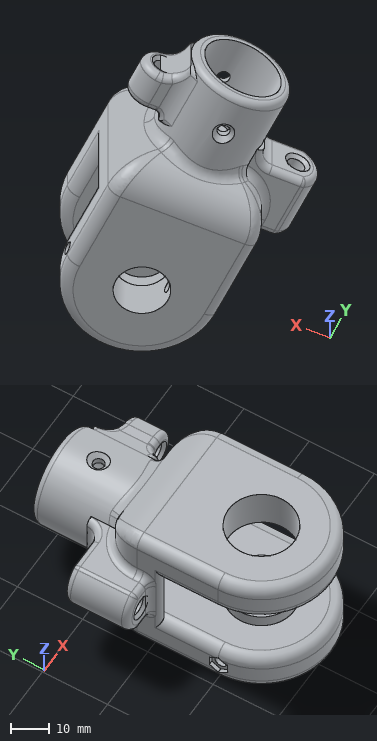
import cadquery as cq
import math

fork_width = 43.0
fork_height = 43.0
half_width = fork_width / 2
half_height = fork_height / 2
slot_height = 18.35
plate_thickness = (fork_height - slot_height) / 2
lower_plate_mid = -(slot_height + plate_thickness) / 2
block_corner_start = 24.9
block_corner_radius = 12.0
block_rear = block_corner_start + block_corner_radius
slot_wall_radius = 26.3
slot_wall_edge_fillet = 1.5
edge_fillet = 3.5
upper_pivot_hole_diameter = 20.0
lower_pivot_hole_diameter = 15.0

total_length = 83.4
socket_rear = total_length - half_width
socket_diameter = 28.5
socket_radius = socket_diameter / 2
socket_bore_diameter = 22.0
socket_root_fillet = 3.5
socket_rim_fillet = 2.0
cross_hole_y = 50.0
cross_hole_diameter = 3.3
cross_sink_diameter = 6.3

lug_hole_diameter = 5.0
lug_sink_diameter = 7.0
lug_edge_fillet = 2.0

left_lug_tip = -32.4
left_lug_front = 20.95
left_lug_rear = 40.55
left_lug_half_height = 7.4
left_lug_tip_radius = 8.5
left_lug_hole_x = -25.9
left_lug_root_fillet = 2.3
left_lug_rear_flare = 4.2

right_lug_tip = 25.1
right_lug_front = 43.05
right_lug_rear = 54.4
right_lug_radius = 6.0
right_lug_hole_x = right_lug_tip - right_lug_radius
right_lug_flare = 6.0
right_lug_front_flare = 2.5

screw_hole_diameter = 3.4
nut_across_flats = 5.4
nut_depth = 1.25

ring_outer_diameter = upper_pivot_hole_diameter
ring_height = 3.8


def cylinder_along_y(x, radius, y_start, y_end):
    return cq.Workplane("XZ", origin=(x, y_start, 0)).circle(radius).extrude(y_start - y_end)


def cylinder_along_z(radius, z_bottom, z_top):
    return cq.Workplane("XY", origin=(0, 0, z_bottom)).circle(radius).extrude(z_top - z_bottom)


def make_fork_blank():
    """Round-ended block with its rear corners rounded in plan and in side profile."""
    plan = (
        cq.Workplane("XY")
        .moveTo(-half_width, block_rear)
        .lineTo(-half_width, 0)
        .threePointArc((0, -half_width), (half_width, 0))
        .lineTo(half_width, block_rear)
        .close()
        .extrude(half_height, both=True)
        .edges("|Z and >Y")
        .fillet(block_corner_radius)
    )
    side = (
        cq.Workplane("XY")
        .box(fork_width, total_length, fork_height)
        .translate((0, block_rear - total_length / 2, 0))
        .edges("|X and >Y")
        .fillet(block_corner_radius)
    )
    return plan.intersect(side).edges("not (|X or |Z)").fillet(edge_fillet)


def cut_slot(blank):
    """Slot between the plates; it ends in a concave wall centred on the pivot axis."""
    wall = cylinder_along_z(slot_wall_radius, -half_height, half_height)
    slot = cq.Workplane("XY").box(total_length, total_length, slot_height).intersect(wall)
    wall_corner_y = math.sqrt(slot_wall_radius**2 - half_width**2)
    rim_zone = cq.selectors.BoxSelector(
        (-half_width - 0.8, -half_width - 0.8, -half_height / 2),
        (half_width + 0.8, wall_corner_y * 0.9, half_height / 2),
    )
    corner_zone = cq.selectors.BoxSelector(
        (-half_width - 0.8, wall_corner_y - 0.8, -half_height / 2),
        (half_width + 0.8, wall_corner_y + 0.8, half_height / 2),
    )
    fork = blank.cut(slot)
    fork = fork.edges("|Y or %CIRCLE").edges(rim_zone).fillet(edge_fillet)
    return fork.edges("|Z").edges(corner_zone).fillet(slot_wall_edge_fillet)


def add_socket(fork):
    socket = cylinder_along_y(0, socket_radius, slot_wall_radius + 1.7, socket_rear)
    socket = socket.faces(">Y").edges().fillet(socket_rim_fillet)
    root_zone = cq.selectors.BoxSelector(
        (-socket_radius - 0.8, block_corner_start + 0.8, -socket_radius - 0.8),
        (socket_radius + 0.8, block_rear + 0.8, socket_radius + 0.8),
    )
    joined = fork.union(socket)
    return joined.edges(root_zone).edges("not #Y").fillet(socket_root_fillet)


def quarter_point(center, radius, x_sign, y_sign):
    """Middle of a quarter arc, in the quadrant given by the two signs."""
    offset = radius * math.sqrt(0.5)
    return (center[0] + x_sign * offset, center[1] + y_sign * offset)


def make_left_lug():
    """Lug with a blunt rounded tip; its rear side flares into the socket."""
    inner_x = -socket_radius * 0.7
    tip_center_x = left_lug_tip + left_lug_tip_radius
    shoulder_x = tip_center_x - math.sqrt(left_lug_tip_radius**2 - left_lug_half_height**2)
    section = (
        cq.Workplane("XZ", origin=(0, total_length, 0))
        .moveTo(inner_x, left_lug_half_height)
        .lineTo(shoulder_x, left_lug_half_height)
        .threePointArc((left_lug_tip, 0), (shoulder_x, -left_lug_half_height))
        .lineTo(inner_x, -left_lug_half_height)
        .close()
        .extrude(total_length)
        .edges("|Y")
        .edges("<X")
        .fillet(lug_edge_fillet)
    )
    flare_center = (-socket_radius - left_lug_rear_flare, left_lug_rear + left_lug_rear_flare)
    flare_mid = quarter_point(flare_center, left_lug_rear_flare, 1, -1)
    plan = (
        cq.Workplane("XY")
        .moveTo(left_lug_tip - 0.8, left_lug_front)
        .lineTo(-17.1, left_lug_front)
        .lineTo(inner_x, block_corner_start + edge_fillet)
        .lineTo(inner_x, flare_center[1])
        .lineTo(-socket_radius, flare_center[1])
        .threePointArc(flare_mid, (flare_center[0], left_lug_rear))
        .lineTo(left_lug_tip - 0.8, left_lug_rear)
        .close()
        .extrude(half_height, both=True)
    )
    lug = section.intersect(plan)
    outer_zone = cq.selectors.BoxSelector(
        (left_lug_tip - 0.8, left_lug_front - 0.8, -half_height),
        (-17.2, flare_center[1], half_height),
    )
    return lug.edges("not (|Y or |Z)").edges(outer_zone).fillet(lug_edge_fillet)


def make_right_lug():
    """Round-ended lug whose flanks and sides flare into the socket."""
    flare_x = math.sqrt((socket_radius + right_lug_flare) ** 2 - (right_lug_radius + right_lug_flare) ** 2)
    flare_z = right_lug_radius + right_lug_flare
    touch = socket_radius / (socket_radius + right_lug_flare)
    touch_x = flare_x * touch
    touch_z = flare_z * touch
    mid_angle = (math.atan2(flare_z, flare_x) + math.pi / 2) / 2
    mid_x = flare_x - right_lug_flare * math.cos(mid_angle)
    mid_z = flare_z - right_lug_flare * math.sin(mid_angle)
    section = (
        cq.Workplane("XZ", origin=(0, total_length, 0))
        .moveTo(touch_x, touch_z)
        .threePointArc((mid_x, mid_z), (flare_x, right_lug_radius))
        .lineTo(right_lug_hole_x, right_lug_radius)
        .threePointArc((right_lug_tip, 0), (right_lug_hole_x, -right_lug_radius))
        .lineTo(flare_x, -right_lug_radius)
        .threePointArc((mid_x, -mid_z), (touch_x, -touch_z))
        .close()
        .extrude(total_length)
    )
    rear_center = (socket_radius + right_lug_flare, right_lug_rear + right_lug_flare)
    front_center = (socket_radius + right_lug_front_flare, right_lug_front - right_lug_front_flare)
    plan = (
        cq.Workplane("XY")
        .moveTo(touch_x, front_center[1])
        .lineTo(socket_radius, front_center[1])
        .threePointArc(
            quarter_point(front_center, right_lug_front_flare, -1, 1),
            (front_center[0], right_lug_front),
        )
        .lineTo(right_lug_tip + 0.8, right_lug_front)
        .lineTo(right_lug_tip + 0.8, right_lug_rear)
        .lineTo(rear_center[0], right_lug_rear)
        .threePointArc(
            quarter_point(rear_center, right_lug_flare, -1, -1), (socket_radius, rear_center[1])
        )
        .lineTo(touch_x, rear_center[1])
        .close()
        .extrude(half_height, both=True)
    )
    return section.intersect(plan).edges("not (|Y or |Z)").fillet(lug_edge_fillet)


def make_rooted_left_lug(fork):
    """The part of the left lug outside the fork, with fillets where it meets the fork side."""
    root_zone = cq.selectors.BoxSelector(
        (-half_width - 0.1, left_lug_front + 0.8, -half_height / 2),
        (-half_width + 0.1, block_corner_start + 0.1, half_height / 2),
        True,
    )
    rooted = fork.union(make_left_lug()).edges(root_zone).fillet(left_lug_root_fillet)
    return rooted.cut(fork)


def countersunk_hole(hole_diameter, sink_diameter, length):
    """Cutter along Z, centred on the origin, with a 90 degree countersink at both ends."""
    hole_radius = hole_diameter / 2
    sink_radius = sink_diameter / 2
    sink_depth = sink_radius - hole_radius
    half_length = length / 2
    return (
        cq.Workplane("XZ")
        .moveTo(0, half_length)
        .lineTo(sink_radius, half_length)
        .lineTo(hole_radius, half_length - sink_depth)
        .lineTo(hole_radius, sink_depth - half_length)
        .lineTo(sink_radius, -half_length)
        .lineTo(0, -half_length)
        .close()
        .revolve(360, (0, 0, 0), (0, 1, 0))
    )


def lug_hole(x, front, rear):
    cutter = countersunk_hole(lug_hole_diameter, lug_sink_diameter, rear - front)
    return cutter.rotate((0, 0, 0), (1, 0, 0), 90).translate((x, (front + rear) / 2, 0))


def screw_hole():
    return cq.Workplane("YZ", origin=(-half_width, 0, lower_plate_mid)).circle(screw_hole_diameter / 2).extrude(fork_width)


def nut_recess():
    across_corners = nut_across_flats / math.cos(math.pi / 6)
    return (
        cq.Workplane("YZ", origin=(-half_width, 0, lower_plate_mid))
        .transformed(rotate=(0, 0, 90))
        .polygon(6, across_corners)
        .extrude(nut_depth)
    )


def cut_holes(body):
    body = body.cut(cylinder_along_y(0, socket_bore_diameter / 2, block_rear, socket_rear))
    cross_hole = countersunk_hole(cross_hole_diameter, cross_sink_diameter, socket_diameter)
    body = body.cut(cross_hole.translate((0, cross_hole_y, 0)))
    body = body.cut(lug_hole(left_lug_hole_x, left_lug_front, left_lug_rear))
    body = body.cut(lug_hole(right_lug_hole_x, right_lug_front, right_lug_rear))
    body = body.cut(cylinder_along_z(upper_pivot_hole_diameter / 2, 0, half_height))
    body = body.cut(cylinder_along_z(lower_pivot_hole_diameter / 2, -half_height, 0))
    return body.cut(screw_hole()).cut(nut_recess())


def make_housing():
    fork = cut_slot(make_fork_blank())
    body = add_socket(fork).union(make_right_lug()).union(make_rooted_left_lug(fork))
    return cut_holes(body).solids()


def make_spacer_ring():
    """Plain ring on the inner face of the lower plate, in line with the lower pivot hole."""
    bottom = -slot_height / 2
    top = bottom + ring_height
    ring = cylinder_along_z(ring_outer_diameter / 2, bottom, top)
    return ring.cut(cylinder_along_z(lower_pivot_hole_diameter / 2, bottom, top))


housing = make_housing()
spacer_ring = make_spacer_ring()
result = cq.Compound.makeCompound([housing.val(), spacer_ring.val()])